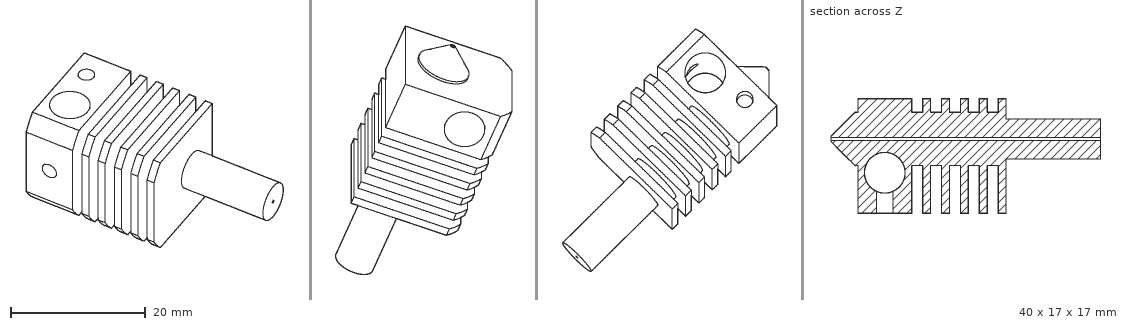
import cadquery as cq
import math

total_length = 40.0

section_size = 17.0
back_y = 6.0
front_y = back_y - section_size
half_height = section_size / 2
corner_radius = 25.0 / 2

block_start = 4.0
block_length = 8.0
block_end = block_start + block_length
block_middle = block_start + block_length / 2
nozzle_diameter = 8.0
tip_diameter = 0.8
cone_length = (nozzle_diameter - tip_diameter) / 2
bore_diameter = 0.4

fin_count = 5
fin_thickness = 1.2
fin_pitch = 2.8
fins_end = 26.0
core_diameter = 8.0
tube_diameter = 6.0

heater_diameter = 6.0
heater_y = -5.0
small_hole_diameter = 2.45
sensor_x = 6.7
sensor_y = 2.0
sensor_depth = 3.0
drill_point_angle = 118.0


def section_plate(start, length):
    """Square plate along X with two front corners rounded about the nozzle axis."""
    plate = cq.Workplane("XY").box(length, section_size, section_size, centered=(False, False, True))
    plate = plate.translate((start, front_y, 0))
    return plate.intersect(cylinder_along_x(start, start + length, 2 * corner_radius))


def cylinder_along_x(start, end, diameter):
    return cq.Workplane("YZ", origin=(start, 0, 0)).circle(diameter / 2).extrude(end - start)


def nozzle():
    """Conical nozzle with a short cylindrical land next to the block."""
    outline = [
        (0, 0),
        (0, tip_diameter / 2),
        (cone_length, nozzle_diameter / 2),
        (block_start, nozzle_diameter / 2),
        (block_start, 0),
    ]
    return cq.Workplane("XY").polyline(outline).close().revolve(360, (0, 0, 0), (1, 0, 0))


def heater_hole():
    """Cartridge hole through the block along Z."""
    return (
        cq.Workplane("XY", origin=(block_middle, heater_y, -half_height))
        .circle(heater_diameter / 2)
        .extrude(section_size)
    )


def clamp_screw_hole():
    """Hole from the front face into the cartridge hole."""
    return (
        cq.Workplane("XZ", origin=(block_middle, heater_y, 0))
        .circle(small_hole_diameter / 2)
        .extrude(heater_y - front_y)
    )


def sensor_hole():
    """Blind drilled hole from the top face with a conical bottom."""
    radius = small_hole_diameter / 2
    point_depth = radius / math.tan(math.radians(drill_point_angle / 2))
    outline = [
        (0, 0),
        (radius, 0),
        (radius, -sensor_depth),
        (0, -sensor_depth - point_depth),
    ]
    drill = cq.Workplane("XZ").polyline(outline).close().revolve(360, (0, 0, 0), (0, 1, 0))
    return drill.translate((sensor_x, sensor_y, half_height))


result = nozzle().union(section_plate(block_start, block_length))
result = result.union(cylinder_along_x(block_end, fins_end, core_diameter))
result = result.union(cylinder_along_x(fins_end, total_length, tube_diameter))

for i in range(fin_count):
    fin_start = fins_end - fin_thickness - i * fin_pitch
    result = result.union(section_plate(fin_start, fin_thickness))

for hole in (heater_hole(), clamp_screw_hole(), sensor_hole()):
    result = result.cut(hole)

result = result.cut(cylinder_along_x(0, total_length, bore_diameter))